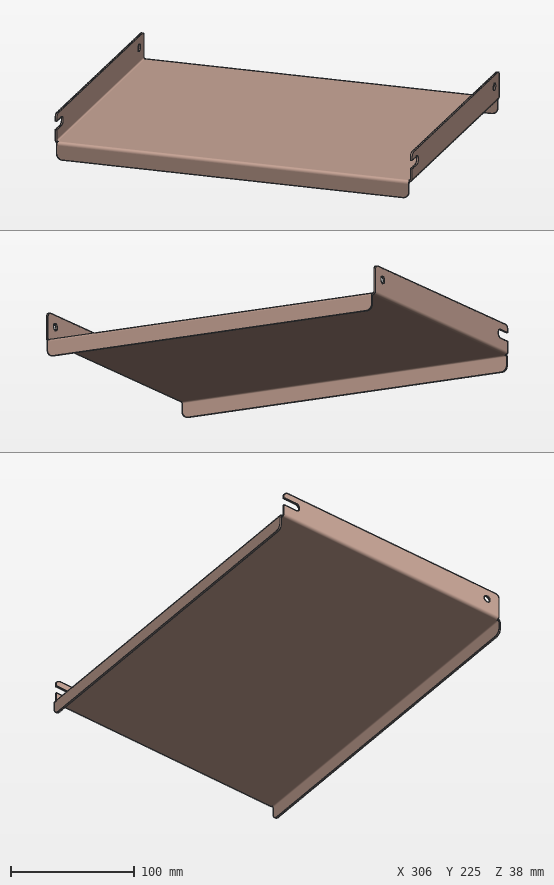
import cadquery as cq

length = 306.0
depth = 225.0
height = 38.0

thickness = 1.5
inner_radius = 1.2
outer_radius = inner_radius + thickness
lip_corner_radius = 5.0
wall_corner_radius = 4.0

floor_top = 14.7
lip_inset = 2.0
lip_length = length - 2 * lip_inset
wall_length = depth - 2 * outer_radius

hole_diameter = 6.0
hole_edge_distance = 12.2
slot_width = 7.3
slot_depth = 16.0
fastener_height = height - 9.8

floor_bottom = floor_top - thickness


def folded_sheet(plane, width, run, flat_z, tip_z, direction):
    """Channel of constant thickness, width wide, folded up (+1) or down (-1) to tip_z.

    flat_z is the outer face of the web, on the side away from the flanges.
    """
    rise = abs(tip_z - flat_z)
    outer = (
        cq.Workplane(plane)
        .center(0, flat_z + direction * rise / 2)
        .rect(width, rise)
        .extrude(run / 2, both=True)
    )
    inner = (
        cq.Workplane(plane)
        .center(0, flat_z + direction * (thickness + rise / 2))
        .rect(width - 2 * thickness, rise)
        .extrude(run / 2, both=True)
    )
    run_axis = "|Y" if plane == "XZ" else "|X"
    web_side = "<Z" if direction > 0 else ">Z"
    outer = outer.faces(web_side).edges(run_axis).fillet(outer_radius)
    inner = inner.faces(web_side).edges(run_axis).fillet(inner_radius)
    return outer.cut(inner)


def wall_cutouts():
    """Round hole near the back and rounded slot open at the front, through both walls."""
    front_end = -wall_length / 2
    slot_center_y = front_end + slot_depth - slot_width / 2
    hole = (
        cq.Workplane("YZ")
        .center(wall_length / 2 - hole_edge_distance, fastener_height)
        .circle(hole_diameter / 2)
        .extrude(length, both=True)
    )
    slot_end = (
        cq.Workplane("YZ")
        .center(slot_center_y, fastener_height)
        .circle(slot_width / 2)
        .extrude(length, both=True)
    )
    slot_mouth = (
        cq.Workplane("YZ")
        .center((front_end + slot_center_y) / 2, fastener_height)
        .rect(slot_center_y - front_end, slot_width)
        .extrude(length, both=True)
    )
    return hole.union(slot_end).union(slot_mouth)


walls = folded_sheet("XZ", length, wall_length, floor_bottom, height, 1)
walls = walls.faces(">Z").edges("|X").edges("<Y or >Y").fillet(wall_corner_radius)
walls = walls.cut(wall_cutouts())

lips = folded_sheet("YZ", depth, lip_length, floor_top, 0, -1)
lips = lips.faces("<Z").edges("|Y").edges("<X or >X").fillet(lip_corner_radius)
web_between_lips = cq.Workplane("XY").box(length, wall_length, 2 * height)
lips = lips.cut(web_between_lips)

result = walls.union(lips)